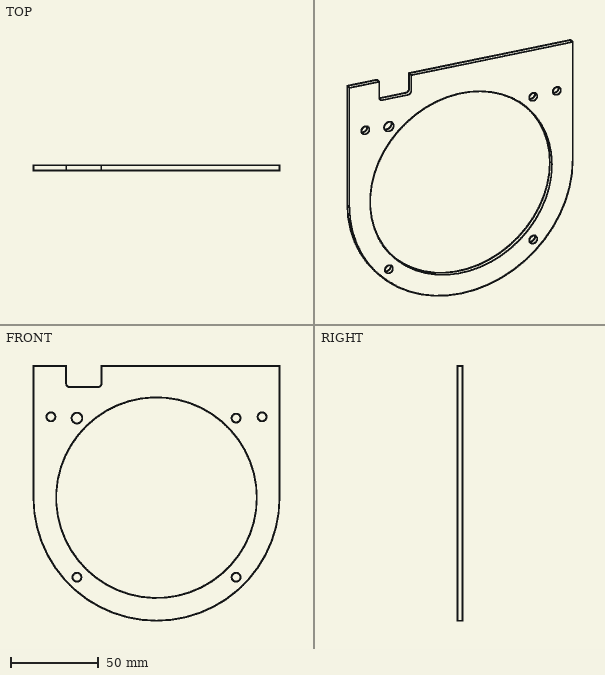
import cadquery as cq

outer_radius = 70.0
total_height = 145.0
thickness = 3.0
top_z = total_height - outer_radius
bore_radius = 57.0

notch_width = 20.0
notch_depth = 12.0
notch_center_x = -41.3
notch_corner_radius = 2.0

hole_diameter = 5.0
large_hole_diameter = 6.0
bolt_offset = 45.2
ear_hole_x = 60.0
ear_hole_z = 46.0


def holes(points, diameter):
    """Cylinders through the plate at the given (x, z) points."""
    return (
        cq.Workplane("XZ")
        .pushPoints(points)
        .circle(diameter / 2)
        .extrude(thickness / 2, both=True)
    )


def make_plate():
    return (
        cq.Workplane("XZ")
        .moveTo(-outer_radius, 0)
        .threePointArc((0, -outer_radius), (outer_radius, 0))
        .lineTo(outer_radius, top_z)
        .lineTo(-outer_radius, top_z)
        .close()
        .extrude(thickness / 2, both=True)
    )


def make_notch():
    """Block open at the top edge, with its two lower corners rounded."""
    return (
        cq.Workplane("XY")
        .box(notch_width, thickness, notch_depth)
        .edges("|Y and <Z")
        .fillet(notch_corner_radius)
        .translate((notch_center_x, 0, top_z - notch_depth / 2))
    )


bolt_points = [
    (-bolt_offset, -bolt_offset),
    (bolt_offset, -bolt_offset),
    (bolt_offset, bolt_offset),
]
large_hole_point = (-bolt_offset, bolt_offset)
ear_points = [(side * ear_hole_x, ear_hole_z) for side in (-1, 1)]

result = (
    make_plate()
    .cut(holes([(0, 0)], 2 * bore_radius))
    .cut(make_notch())
    .cut(holes(bolt_points + ear_points, hole_diameter))
    .cut(holes([large_hole_point], large_hole_diameter))
)